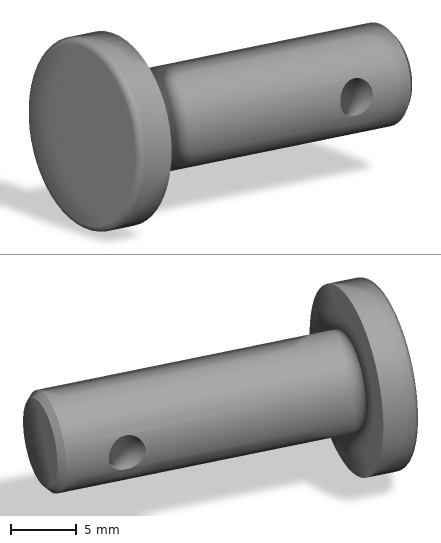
import cadquery as cq

total_length = 28.0
head_diameter = 15.0
head_thickness = 3.0
head_fillet = 0.5
shank_diameter = 8.0
tip_chamfer = 0.5
hole_diameter = 3.0
hole_to_tip = 5.5


def cylinder_along_y(diameter, length):
    """Cylinder from Y = 0 to Y = length, centred on the Y axis."""
    return cq.Workplane("XZ").circle(diameter / 2).extrude(-length)


head = cylinder_along_y(head_diameter, head_thickness).faces("<Y").edges().fillet(head_fillet)

shank = cylinder_along_y(shank_diameter, total_length).faces(">Y").edges().chamfer(tip_chamfer)

cross_hole = (
    cq.Workplane("YZ")
    .center(total_length - hole_to_tip, 0)
    .circle(hole_diameter / 2)
    .extrude(shank_diameter, both=True)
)

result = head.union(shank).cut(cross_hole)